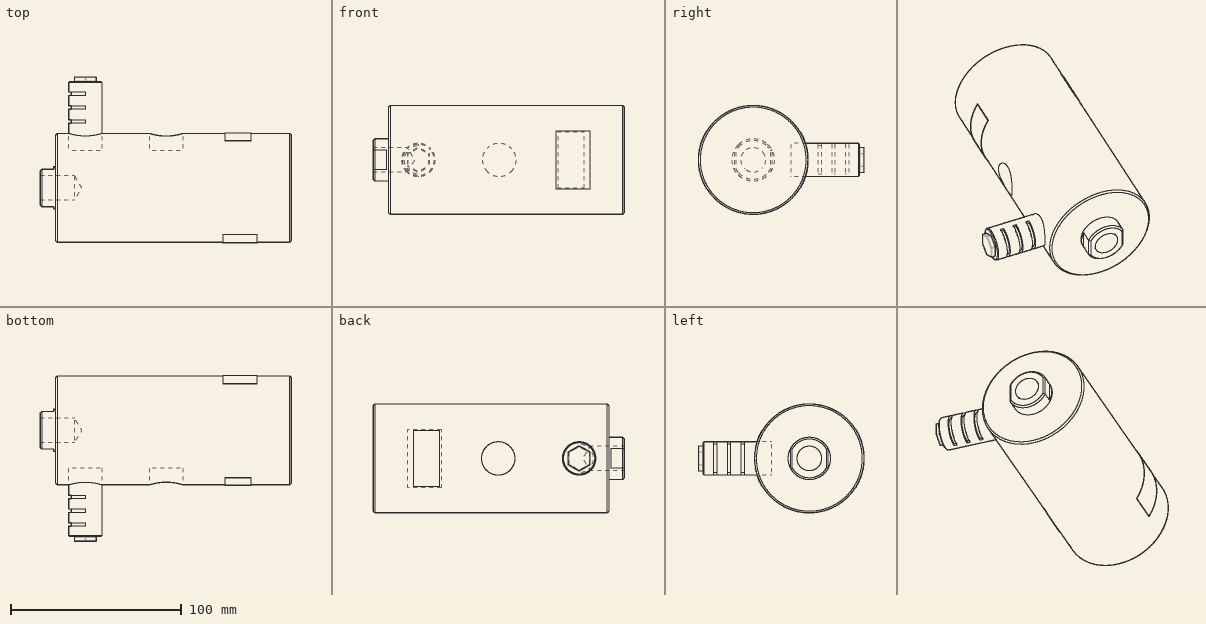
import cadquery as cq
import math

overall_length = 147.0
housing_diameter = 64.0
housing_length = 138.0
edge_chamfer = 1.0

boss_diameter = 24.8
boss_length = overall_length - housing_length
boss_flat_width = 22.0
collar_length = 1.0
bore_diameter = 14.4
bore_depth = 20.0
drill_tip_angle = 118

connector_diameter = 19.5
connector_radius = connector_diameter / 2
connector_x = 17.5
open_port_x = 64.8
port_floor_y = 22.0

hex_end_y = 65.0
hex_height = 2.8
hex_flat_width = 13.0
hex_edge_radius = 0.5
barrel_end_y = hex_end_y - hex_height
barrel_chamfer = 0.6
groove_width = 1.9
groove_depth = 1.5
groove_count = 3
groove_pitch = 8.1
outer_groove_y = 55.1

front_pad_thickness = 0.2
rear_pad_thickness = 0.3
front_pad_length = 20.0
front_pad_height = 33.8
front_pad_x = 107.9
rear_pad_length = 15.3
rear_pad_height = 32.6
rear_pad_x = 106.9


def cylinder_x(start, length, diameter):
    """Cylinder on the X axis."""
    return cq.Workplane("YZ").workplane(offset=start).circle(diameter / 2).extrude(length)


def cylinder_y(x, start, end, diameter):
    """Cylinder parallel to Y, from start to end."""
    plane = cq.Plane(origin=(x, start, 0), xDir=(1, 0, 0), normal=(0, 1, 0))
    return cq.Workplane(plane).circle(diameter / 2).extrude(end - start)


def make_boss():
    """Round boss with two flats that stop at a narrow round collar."""
    boss = cylinder_x(-boss_length, boss_length, boss_diameter)
    flat_zone = boss_length - collar_length
    flats = cq.Workplane("XY").box(flat_zone, boss_flat_width, boss_diameter)
    flats = flats.translate((-boss_length + flat_zone / 2, 0, 0))
    collar = cylinder_x(-collar_length, collar_length, boss_diameter)
    return boss.intersect(flats.union(collar)).faces("<X").chamfer(edge_chamfer)


def make_bore():
    """Blind drilled hole with a conical bottom."""
    radius = bore_diameter / 2
    tip_length = radius / math.tan(math.radians(drill_tip_angle / 2))
    floor_x = bore_depth - boss_length
    profile = cq.Workplane("XY").moveTo(-boss_length, 0).lineTo(-boss_length, radius)
    profile = profile.lineTo(floor_x, radius).lineTo(floor_x + tip_length, 0).close()
    return profile.revolve(360, (0, 0, 0), (1, 0, 0))


def make_pad(x, length, height, thickness, side):
    """Thin rectangular pad that follows the cylinder, on the +Y (side = 1) or -Y (side = -1) side."""
    shell = cylinder_x(x - length / 2, length, housing_diameter + 2 * thickness)
    window = cq.Workplane("XY").box(length, housing_diameter, height)
    return shell.intersect(window.translate((x, side * housing_diameter / 2, 0)))


def make_housing():
    """Cylinder with its boss, bore, label pads and two blind ports."""
    body = cylinder_x(0, housing_length, housing_diameter)
    body = body.faces("<X or >X").chamfer(edge_chamfer)
    body = body.union(make_boss()).cut(make_bore())
    body = body.union(make_pad(front_pad_x, front_pad_length, front_pad_height, front_pad_thickness, -1))
    body = body.union(make_pad(rear_pad_x, rear_pad_length, rear_pad_height, rear_pad_thickness, 1))
    for port_x in (connector_x, open_port_x):
        body = body.cut(cylinder_y(port_x, port_floor_y, housing_diameter, connector_diameter))
    return body


def make_groove(y):
    """Half-ring groove on the -X side of the connector."""
    start = y - groove_width / 2
    end = y + groove_width / 2
    ring = cylinder_y(connector_x, start, end, connector_diameter)
    ring = ring.cut(cylinder_y(connector_x, start, end, connector_diameter - 2 * groove_depth))
    half = cq.Workplane("XY").box(connector_radius, groove_width, connector_diameter)
    return ring.intersect(half.translate((connector_x - connector_radius / 2, y, 0)))


def make_connector():
    """Round barrel seated in the first port, grooved on one side, with a hexagon on its end."""
    barrel = cylinder_y(connector_x, port_floor_y, barrel_end_y, connector_diameter)
    barrel = barrel.faces(">Y").chamfer(barrel_chamfer)
    for index in range(groove_count):
        barrel = barrel.cut(make_groove(outer_groove_y - index * groove_pitch))
    hex_plane = cq.Plane(origin=(connector_x, barrel_end_y, 0), xDir=(0, 0, 1), normal=(0, 1, 0))
    hex_corner_diameter = hex_flat_width / math.cos(math.pi / 6)
    hex_head = cq.Workplane(hex_plane).polygon(6, hex_corner_diameter).extrude(hex_height)
    return barrel.union(hex_head.edges().fillet(hex_edge_radius))


housing = make_housing()
connector = make_connector()

result = cq.Compound.makeCompound([housing.val(), connector.val()])